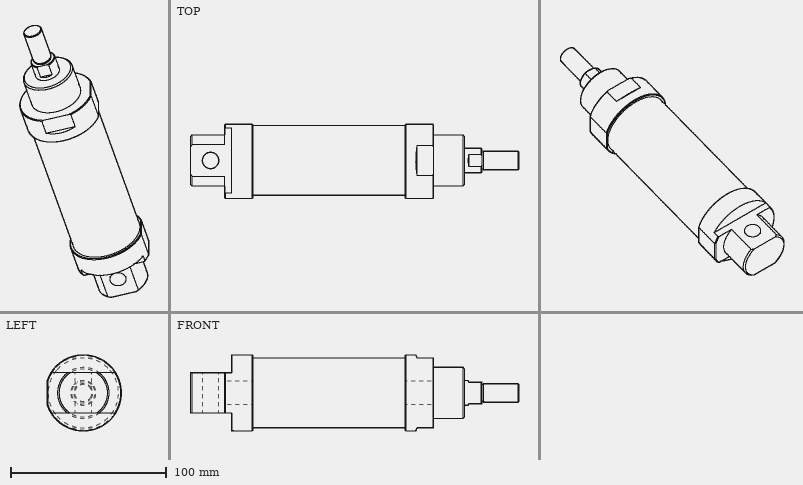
import cadquery as cq
import math


LUG_END = 21.9
REAR_CAP_WALL = 26.4
REAR_CAP_END = 40.0
FRONT_CAP_START = 137.8
FRONT_FLAT_START = 145.6
FRONT_CAP_END = 156.1
NOSE_END = 176.0
WRENCH_FLAT_START = 178.8
ROD_SHOULDER = 187.2
THREAD_START = 188.2
ROD_END = 211.0

CAP_DIAMETER = 49.0
TUBE_DIAMETER = 45.0
NOSE_DIAMETER = 33.0
LUG_DIAMETER = NOSE_DIAMETER
ROD_DIAMETER = 16.0
THREAD_DIAMETER = 12.0
RELIEF_DIAMETER = 11.0

LUG_THICKNESS = 26.0
FRONT_FLAT_WIDTH = TUBE_DIAMETER
WRENCH_FLAT_WIDTH = 14.0
SIDE_FLAT_Y = 23.3
FLAT_WALL_SLOPE = math.tan(math.radians(25))

PIVOT_HOLE_X = 12.9
PIVOT_HOLE_DIAMETER = 10.4

END_CHAMFER = 1.0
RIM_CHAMFER = 0.5


def cylinder_x(diameter, start, end):
    """Solid cylinder on the X axis between two stations."""
    return cq.Workplane("YZ", origin=(start, 0, 0)).circle(diameter / 2).extrude(end - start)


def flat_pair_cutter(width, start, end, wall_slope=0.0):
    """Blocks above and below a band of the given Z width; the start walls can lean toward -X."""
    floor = width / 2
    top = floor + CAP_DIAMETER / 2
    lean = wall_slope * (top - floor)
    upper = (
        cq.Workplane("XZ")
        .polyline([(start, floor), (end, floor), (end, top), (start - lean, top)])
        .close()
        .extrude(CAP_DIAMETER, both=True)
    )
    return upper.union(upper.mirror("XY"))


def cap_barrel(start, end):
    """Cap cylinder with a flat along its +Y side and both rims chamfered."""
    length = end - start
    beyond_flat = cq.Workplane("XY").box(
        length, CAP_DIAMETER, CAP_DIAMETER, centered=(False, False, True)
    )
    barrel = cylinder_x(CAP_DIAMETER, start, end).cut(beyond_flat.translate((start, SIDE_FLAT_Y, 0)))
    return barrel.faces("<X or >X").chamfer(RIM_CHAMFER)


def make_rear_cap():
    """Cap with a flat-sided lug and a vertical pivot hole."""
    lug = cylinder_x(LUG_DIAMETER, 0, LUG_END).faces("<X").chamfer(END_CHAMFER)
    cap = cap_barrel(LUG_END, REAR_CAP_END).union(lug)
    cap = cap.cut(flat_pair_cutter(LUG_THICKNESS, 0, REAR_CAP_WALL))
    pivot_hole = (
        cq.Workplane("XY", origin=(PIVOT_HOLE_X, 0, 0))
        .circle(PIVOT_HOLE_DIAMETER / 2)
        .extrude(LUG_THICKNESS, both=True)
    )
    return cap.cut(pivot_hole)


def make_tube():
    """Plain round barrel between the two caps."""
    return cylinder_x(TUBE_DIAMETER, REAR_CAP_END, FRONT_CAP_START)


def make_front_cap():
    """Cap with two flats at its front end and a round nose."""
    cap = cap_barrel(FRONT_CAP_START, FRONT_CAP_END)
    cap = cap.cut(flat_pair_cutter(FRONT_FLAT_WIDTH, FRONT_FLAT_START, FRONT_CAP_END, FLAT_WALL_SLOPE))
    nose = cylinder_x(NOSE_DIAMETER, FRONT_CAP_END, NOSE_END).faces(">X").chamfer(END_CHAMFER)
    return cap.union(nose)


def make_rod():
    """Rod end with wrench flats, a relief groove and a round tip."""
    shoulder = cylinder_x(ROD_DIAMETER, NOSE_END, ROD_SHOULDER).faces(">X").chamfer(RIM_CHAMFER)
    shoulder = shoulder.cut(
        flat_pair_cutter(WRENCH_FLAT_WIDTH, WRENCH_FLAT_START, ROD_SHOULDER, FLAT_WALL_SLOPE)
    )
    relief = cylinder_x(RELIEF_DIAMETER, ROD_SHOULDER, THREAD_START)
    tip = cylinder_x(THREAD_DIAMETER, THREAD_START, ROD_END).faces(">X").chamfer(RIM_CHAMFER)
    return shoulder.union(relief).union(tip)


rear_cap = make_rear_cap()
tube = make_tube()
front_cap = make_front_cap()
rod = make_rod()

bodies = [rear_cap, tube, front_cap, rod]
result = cq.Compound.makeCompound([body.solids().val() for body in bodies])